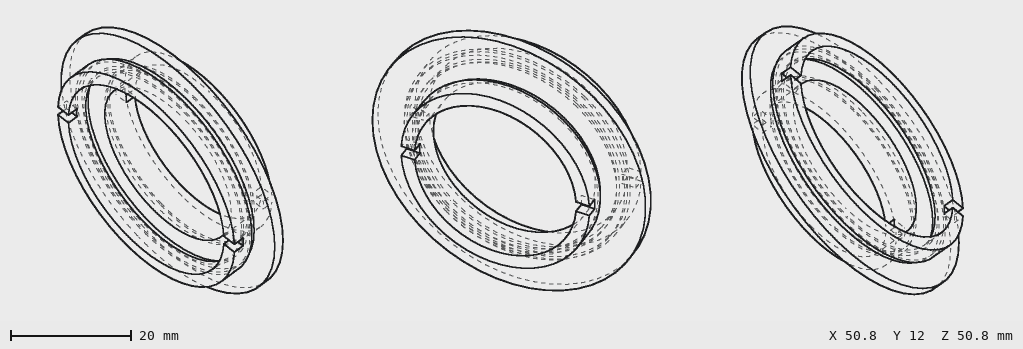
import cadquery as cq

flange_diameter = 50.8
front_diameter = 42.0
front_groove_diameter = 41.0
rear_diameter = 35.0
rear_groove_diameter = 34.0
bore_diameter = 30.0
counterbore_diameter = 37.0
relief_diameter = 38.0

total_length = 12.0
collar_length = 4.0
groove_width = 1.0
flange_thickness = total_length - 2 * (collar_length + groove_width)
counterbore_depth = collar_length + groove_width
relief_width = groove_width

slot_width = 2.0
slot_depth = 2.0


def cylinder(diameter, start, length):
    """Solid cylinder about the Y axis, running from start toward +Y."""
    plane = cq.Plane(origin=(0, start, 0), xDir=(1, 0, 0), normal=(0, 1, 0))
    return cq.Workplane(plane).circle(diameter / 2).extrude(length)


def end_slot(center_y):
    """Cutter for a slot running along X through the full width of the part."""
    cutter = cq.Workplane("XY").box(flange_diameter, 2 * slot_depth, slot_width)
    return cutter.translate((0, center_y, 0))


sections = [
    (front_diameter, collar_length),
    (front_groove_diameter, groove_width),
    (flange_diameter, flange_thickness),
    (rear_groove_diameter, groove_width),
    (rear_diameter, collar_length),
]
front_face = -total_length / 2
rear_face = total_length / 2

result = cq.Workplane("XY")
section_start = front_face
for diameter, length in sections:
    result = result.union(cylinder(diameter, section_start, length))
    section_start += length

result = result.cut(cylinder(bore_diameter, front_face, total_length))
result = result.cut(cylinder(counterbore_diameter, front_face, counterbore_depth))

relief_start = front_face + counterbore_depth - relief_width
result = result.cut(cylinder(relief_diameter, relief_start, relief_width))

for face in (front_face, rear_face):
    result = result.cut(end_slot(face))